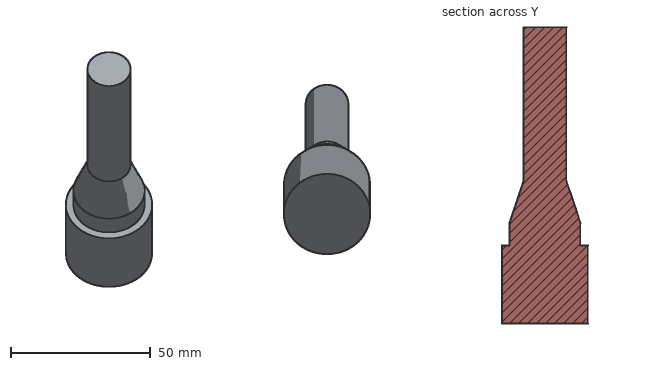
import cadquery as cq

total_length = 106.0
base_length = 28.0
collar_length = 8.0
taper_length = 15.0

base_diameter = 31.0
collar_diameter = 25.5
shaft_diameter = 15.5

collar_top = base_length + collar_length
taper_top = collar_top + taper_length

half_profile = (
    cq.Workplane("XZ")
    .lineTo(base_diameter / 2, 0)
    .lineTo(base_diameter / 2, base_length)
    .lineTo(collar_diameter / 2, base_length)
    .lineTo(collar_diameter / 2, collar_top)
    .lineTo(shaft_diameter / 2, taper_top)
    .lineTo(shaft_diameter / 2, total_length)
    .lineTo(0, total_length)
    .close()
)

result = half_profile.revolve(360, (0, 0, 0), (0, 1, 0))